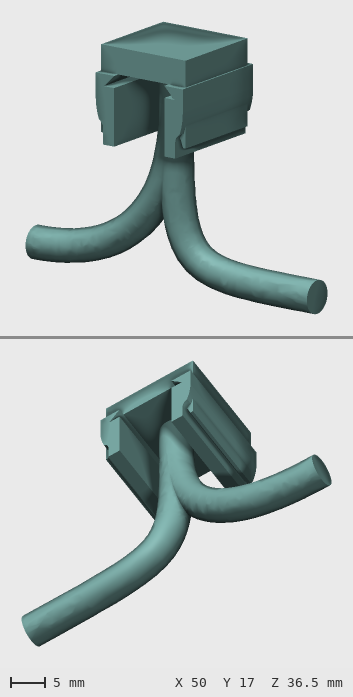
import cadquery as cq
import math

cap_width = 15.0
cap_height = 4.0

clip_length = 17.0
clip_height = 10.5
clip_outer_x = 7.75
clip_inner_x = 4.45
leg_outer_x = 6.4
notch_depth = 1.8
flank_start_z = -3.5
flank_radius = 10.0
flank_end_z = -6.9
root_end_z = -8.1

lip_bottom_z = -9.05
lip_tip_thickness = 0.45
lip_root_x = 6.6
lip_root_z = -7.75
lip_top_z = -5.0
lip_outer_x = cap_width / 2

cable_radius = 2.5
cable_y = 0.5
left_branch_z = -5.0
right_branch_z = -8.0
branch_reach = 25.0
branch_end_z = -30.0
left_bend = (-7.5, -24.65)
right_bend = (2.8, -26.75)


def make_cap():
    return cq.Workplane("XY").box(cap_width, cap_width, cap_height, centered=(True, True, False))


def extrude_along_y(profile, length):
    """Extrude an XZ profile symmetrically about Y = 0."""
    return profile.extrude(length / 2, both=True)


def make_clip():
    """Clip on the +X side: undercut body with an outward lip along its middle."""
    flank_center_x = clip_outer_x - flank_radius

    def flank_x(z):
        return flank_center_x + math.sqrt(flank_radius**2 - (z - flank_start_z)**2)

    flank_end_x = flank_x(flank_end_z)
    flank_mid_z = (flank_start_z + flank_end_z) / 2

    hollow_width = flank_end_x - leg_outer_x
    hollow_height = flank_end_z - root_end_z
    hollow_radius = (hollow_width**2 + hollow_height**2) / (2 * hollow_width)
    hollow_mid_angle = math.asin(hollow_height / hollow_radius) / 2
    hollow_mid = (
        leg_outer_x + hollow_radius * (1 - math.cos(hollow_mid_angle)),
        root_end_z + hollow_radius * math.sin(hollow_mid_angle),
    )

    body_profile = (
        cq.Workplane("XZ")
        .moveTo(clip_inner_x, 0)
        .lineTo(clip_outer_x, 0)
        .lineTo(clip_outer_x, flank_start_z)
        .threePointArc((flank_x(flank_mid_z), flank_mid_z), (flank_end_x, flank_end_z))
        .threePointArc(hollow_mid, (leg_outer_x, root_end_z))
        .lineTo(leg_outer_x, -clip_height)
        .lineTo(clip_inner_x, -clip_height)
        .lineTo(clip_inner_x, -notch_depth)
        .lineTo(clip_inner_x + notch_depth, -notch_depth)
        .close()
    )

    lip_profile = (
        cq.Workplane("XZ")
        .moveTo(leg_outer_x, lip_root_z)
        .lineTo(lip_root_x, lip_root_z)
        .lineTo(lip_outer_x - lip_tip_thickness, lip_bottom_z)
        .lineTo(lip_outer_x, lip_bottom_z)
        .lineTo(lip_outer_x, lip_top_z)
        .lineTo(leg_outer_x, lip_top_z)
        .close()
    )
    body = extrude_along_y(body_profile, clip_length)
    lip = extrude_along_y(lip_profile, cap_width)
    return body.union(lip)


def make_branch(start_z, bend, side):
    """Round branch from start_z to a horizontal end; side is -1 or +1 along X."""
    path = cq.Workplane("XZ", origin=(0, cable_y, 0)).spline(
        [(0, start_z), bend, (side * branch_reach, branch_end_z)],
        tangents=[(0, -1), (side, 0)],
    )
    section = cq.Workplane("XY", origin=(0, cable_y, start_z)).circle(cable_radius)
    return section.sweep(path)


def make_cable():
    stem = cq.Workplane("XY", origin=(0, cable_y, left_branch_z)).circle(cable_radius).extrude(-left_branch_z)
    left_branch = make_branch(left_branch_z, left_bend, -1)
    right_branch = make_branch(right_branch_z, right_bend, 1)
    return stem.union(left_branch).union(right_branch)


cap = make_cap()
clips = [make_clip().rotate((0, 0, 0), (0, 0, 1), angle) for angle in (0, 180)]
cable = make_cable()

result = cq.Compound.makeCompound([cap.val(), *[clip.val() for clip in clips], cable.val()])